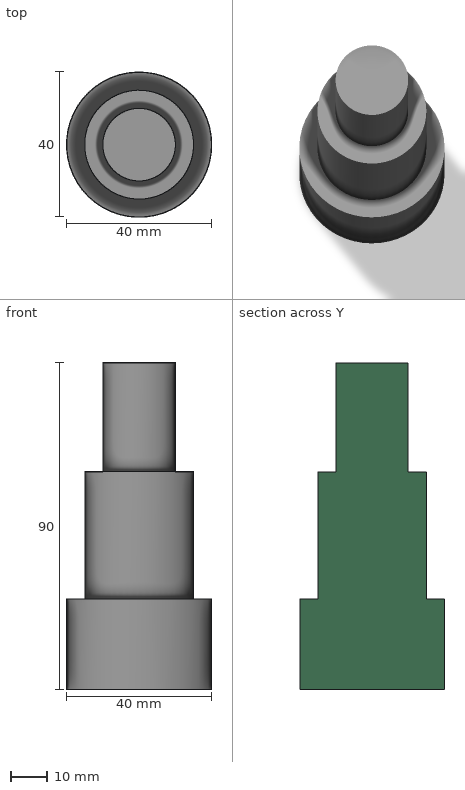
import cadquery as cq

total_height = 90.0
base_height = 25.0
middle_height = 35.0
top_height = total_height - base_height - middle_height

base_diameter = 40.0
middle_diameter = 30.0
top_diameter = 20.0


def add_section(shaft, diameter, height):
    """Stack a cylinder on the top face of the shaft."""
    return shaft.faces(">Z").workplane().circle(diameter / 2).extrude(height)


result = cq.Workplane("XY").circle(base_diameter / 2).extrude(base_height)
result = add_section(result, middle_diameter, middle_height)
result = add_section(result, top_diameter, top_height)